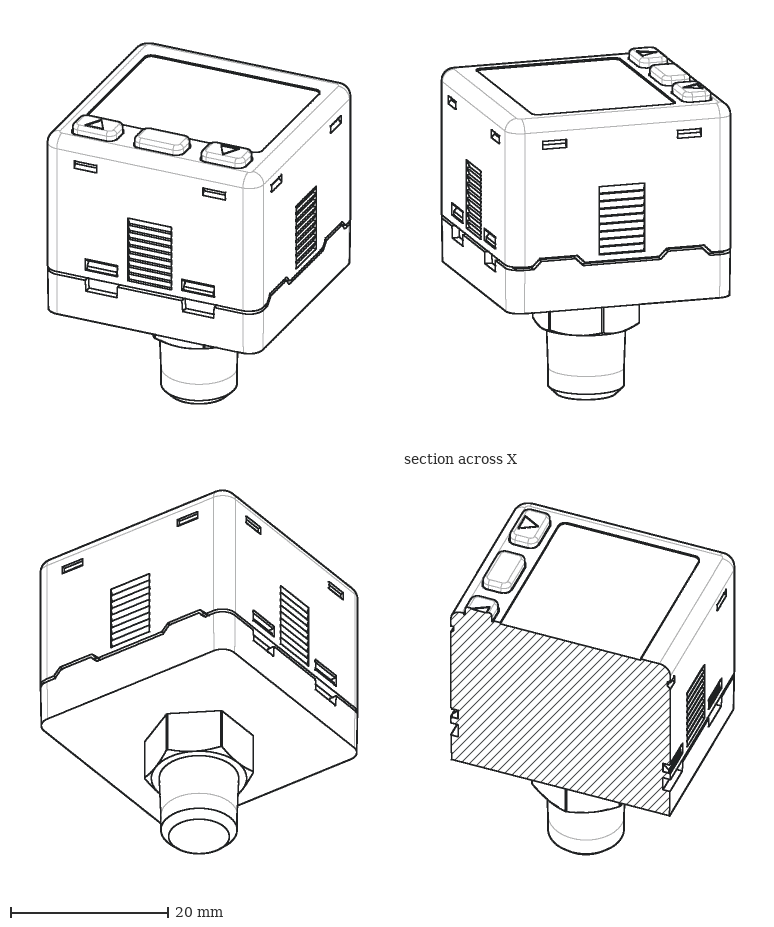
import cadquery as cq
import math

HOUSING = 30.0
HOUSING_HALF = HOUSING / 2
ALL_SIDES = (0, 90, 180, 270)
Y_SIDES = (0, 180)
CORNER_R = 2.0
TOP_R = 1.55
TOTAL_HEIGHT = 41.45
HOUSING_TOP = 40.3
HOUSING_BOTTOM = 15.05
BASE_DRAFT_ANGLE = 0.9

GROOVE_TOP = 21.2
GROOVE_WIDTH = 0.4
GROOVE_BOTTOM = GROOVE_TOP - GROOVE_WIDTH
GROOVE_DEPTH = 1.0
CORE_CORNER_R = 0.6
CORE_OVERLAP = 0.4
WAVE_RISE = 1.0
RAMP_ANGLE = 45.0
RAMP_RUN = WAVE_RISE / math.tan(math.radians(RAMP_ANGLE))
WAVE_INNER = 4.97
WAVE_OUTER = 11.95

HEX_FLATS = 12.1
HEX_CORNERS = 13.85
HEX_BOTTOM = 9.0
HEX_CHAMFER_ANGLE = 30.0
THREAD_TOP_R = 5.05
THREAD_R = 4.85
THREAD_TAPER_BOTTOM = 3.35
TIP_CHAMFER = 1.0

LOUVRE_WIDTH = 6.05
LOUVRE_COUNT = 9
LOUVRE_PITCH = 1.0
LOUVRE_DEPTH = 0.5
LOUVRE_TOP = 30.95

VENT_WIDTH = 3.15
VENT_X = 9.0
VENT_TOP = 37.5
VENT_BOTTOM = 36.48
VENT_SLOPE_RISE = 0.45
VENT_DEPTH = 0.4

SNAP_X = 6.75
SNAP_WIDTH = 4.5
WINDOW_TOP = 23.85
WINDOW_BOTTOM = 22.25
WINDOW_DEPTH = GROOVE_DEPTH
WINDOW_LIP = 0.15
CATCH_WIDTH = 4.15
CATCH_TOP = 23.6
CATCH_EDGE = 22.75
CATCH_SETBACK = 0.2
NOTCH_HEIGHT = 1.55
NOTCH_DEPTH = GROOVE_DEPTH
NOTCH_BOTTOM_WIDTH = 4.3

DISPLAY_WIDTH = 24.4
DISPLAY_LENGTH = 19.15
DISPLAY_Y = 1.35
DISPLAY_R = 0.9
DISPLAY_DEPTH = 0.2

BUTTON_X = 9.0
BUTTON_Y = -11.2
BUTTON_WIDTH = 6.0
SET_BUTTON_WIDTH = 6.67
BUTTON_LENGTH = 3.75
BUTTON_R = 1.0
BUTTON_EDGE_R = 0.5
BUTTON_CLEARANCE = 0.12
BUTTON_POCKET_DEPTH = 0.2
ARROW_WIDTH = 2.53
ARROW_HEIGHT = 2.25
ARROW_DEPTH = 0.12


def side_prism(points, width, x_center=0.0):
    """Extrude (depth, z) points along X, depth running inward from the -Y side."""
    outline = [(depth - HOUSING_HALF, z) for depth, z in points]
    start_x = x_center - width / 2
    return cq.Workplane("YZ", origin=(start_x, 0, 0)).polyline(outline).close().extrude(width)


def on_sides(cutter, angles):
    """Repeat a -Y side cutter around the Z axis."""
    copies = cq.Workplane()
    for angle in angles:
        copies = copies.add(cutter.rotate((0, 0, 0), (0, 0, 1), angle).vals())
    return copies


def rounded_block(width, length, corner_r, z_bottom, height, center=(0.0, 0.0)):
    block = cq.Workplane(origin=(center[0], center[1], z_bottom)).rect(width, length).extrude(height)
    return block.edges("|Z").fillet(corner_r)


def wave_line(z, ramp_shift):
    """Points of one groove edge from -Y to +Y; the shift narrows the raised stretches."""
    inner = WAVE_INNER + ramp_shift
    outer = WAVE_OUTER - ramp_shift
    half = [
        (inner, z),
        (inner + RAMP_RUN, z + WAVE_RISE),
        (outer - RAMP_RUN, z + WAVE_RISE),
        (outer, z),
        (HOUSING_HALF, z),
    ]
    mirrored = [(-y, height) for y, height in reversed(half)]
    return mirrored + half


def below_wave(edge_points):
    """Everything in the housing that lies under one groove edge."""
    outline = edge_points + [(HOUSING_HALF, HOUSING_BOTTOM), (-HOUSING_HALF, HOUSING_BOTTOM)]
    return cq.Workplane("YZ").polyline(outline).close().extrude(HOUSING_HALF, both=True)


def make_cover():
    height = HOUSING_TOP - GROOVE_BOTTOM
    cover = rounded_block(HOUSING, HOUSING, CORNER_R, GROOVE_BOTTOM, height)
    cover = cover.faces(">Z").edges().fillet(TOP_R)
    return cover.cut(below_wave(wave_line(GROOVE_TOP, 0.0)))


def make_base():
    outline = cq.Sketch().rect(HOUSING, HOUSING).vertices().fillet(CORNER_R)
    crest = GROOVE_BOTTOM + WAVE_RISE
    base = cq.Workplane(origin=(0, 0, crest)).placeSketch(outline)
    base = base.extrude(HOUSING_BOTTOM - crest, taper=BASE_DRAFT_ANGLE)
    ramp_shift = GROOVE_WIDTH * math.tan(math.radians(RAMP_ANGLE / 2))
    return base.intersect(below_wave(wave_line(GROOVE_BOTTOM, ramp_shift)))


def make_core():
    """Inner block that joins cover and base and forms the groove floor."""
    side = HOUSING - 2 * GROOVE_DEPTH
    bottom = GROOVE_BOTTOM - CORE_OVERLAP
    top = GROOVE_TOP + WAVE_RISE + CORE_OVERLAP
    return rounded_block(side, side, CORE_CORNER_R, bottom, top - bottom)


def make_fitting():
    hex_height = HOUSING_BOTTOM - HEX_BOTTOM
    sharp_corners = HEX_FLATS / math.cos(math.pi / 6)
    hexagon = cq.Workplane(origin=(0, 0, HEX_BOTTOM)).polygon(6, sharp_corners).extrude(hex_height)
    corner_r = HEX_CORNERS / 2
    face_r = HEX_FLATS / 2
    chamfer = (corner_r - face_r) * math.tan(math.radians(HEX_CHAMFER_ANGLE))
    turned = (
        cq.Workplane("XZ")
        .moveTo(0, HEX_BOTTOM)
        .lineTo(face_r, HEX_BOTTOM)
        .lineTo(corner_r, HEX_BOTTOM + chamfer)
        .lineTo(corner_r, HOUSING_BOTTOM)
        .lineTo(0, HOUSING_BOTTOM)
        .close()
        .revolve()
    )
    thread = (
        cq.Workplane("XZ")
        .lineTo(THREAD_R - TIP_CHAMFER, 0)
        .lineTo(THREAD_R, TIP_CHAMFER)
        .lineTo(THREAD_R, THREAD_TAPER_BOTTOM)
        .lineTo(THREAD_TOP_R, HEX_BOTTOM)
        .lineTo(0, HEX_BOTTOM)
        .close()
        .revolve()
    )
    return hexagon.intersect(turned).union(thread)


def make_louvres():
    """Stacked saw-tooth cuts, each sloping in from its top edge to a level ledge."""
    cutters = cq.Workplane()
    for index in range(LOUVRE_COUNT):
        top = LOUVRE_TOP - index * LOUVRE_PITCH
        ledge = top - LOUVRE_PITCH
        tooth = side_prism([(0, top), (LOUVRE_DEPTH, ledge), (0, ledge)], LOUVRE_WIDTH)
        cutters = cutters.add(tooth.vals())
    return cutters


def make_vents():
    outline = [
        (0, VENT_BOTTOM),
        (VENT_DEPTH, VENT_BOTTOM + VENT_SLOPE_RISE),
        (VENT_DEPTH, VENT_TOP),
        (0, VENT_TOP),
    ]
    return side_prism(outline, VENT_WIDTH, -VENT_X).add(side_prism(outline, VENT_WIDTH, VENT_X))


def make_snap_window(x_center):
    """Opening with a sloped upper lip, less the ramped catch that fills it."""
    opening = side_prism(
        [
            (0, WINDOW_BOTTOM),
            (WINDOW_DEPTH, WINDOW_BOTTOM),
            (WINDOW_DEPTH, CATCH_TOP),
            (WINDOW_LIP, CATCH_TOP),
            (0, WINDOW_TOP),
        ],
        SNAP_WIDTH,
        x_center,
    )
    catch = side_prism(
        [
            (CATCH_SETBACK, WINDOW_BOTTOM),
            (CATCH_SETBACK, CATCH_EDGE),
            (WINDOW_DEPTH, CATCH_TOP),
            (WINDOW_DEPTH, WINDOW_BOTTOM),
        ],
        CATCH_WIDTH,
        x_center,
    )
    return opening.cut(catch)


def make_notch(x_center):
    top_half = SNAP_WIDTH / 2
    bottom_half = NOTCH_BOTTOM_WIDTH / 2
    bottom = GROOVE_BOTTOM - NOTCH_HEIGHT
    outline = [
        (x_center - top_half, GROOVE_BOTTOM),
        (x_center - bottom_half, bottom),
        (x_center + bottom_half, bottom),
        (x_center + top_half, GROOVE_BOTTOM),
    ]
    plane = cq.Workplane("XZ", origin=(0, -HOUSING_HALF, 0))
    return plane.polyline(outline).close().extrude(-NOTCH_DEPTH)


def make_display():
    bottom = HOUSING_TOP - DISPLAY_DEPTH
    center = (0, DISPLAY_Y)
    return rounded_block(DISPLAY_WIDTH, DISPLAY_LENGTH, DISPLAY_R, bottom, DISPLAY_DEPTH, center)


def make_button(x_center, width):
    floor = HOUSING_TOP - BUTTON_POCKET_DEPTH
    button = rounded_block(
        width, BUTTON_LENGTH, BUTTON_R, floor, TOTAL_HEIGHT - floor, (x_center, BUTTON_Y)
    )
    return button.faces(">Z").edges().fillet(BUTTON_EDGE_R)


def make_button_pocket(x_center, width):
    gap = BUTTON_CLEARANCE
    return rounded_block(
        width + 2 * gap,
        BUTTON_LENGTH + 2 * gap,
        BUTTON_R + gap,
        HOUSING_TOP - BUTTON_POCKET_DEPTH,
        BUTTON_POCKET_DEPTH,
        (x_center, BUTTON_Y),
    )


def make_arrow(x_center, direction):
    tip = direction * ARROW_HEIGHT / 2
    outline = [(-ARROW_WIDTH / 2, -tip), (ARROW_WIDTH / 2, -tip), (0, tip)]
    plane = cq.Workplane(origin=(x_center, BUTTON_Y, TOTAL_HEIGHT))
    return plane.polyline(outline).close().extrude(-ARROW_DEPTH)


def cut_all(body, cutters):
    for cutter in cutters.vals():
        body = body.cut(cq.Workplane(cutter))
    return body


result = make_cover().union(make_core()).union(make_base()).union(make_fitting())

result = cut_all(result, on_sides(make_louvres(), ALL_SIDES))
result = cut_all(result, on_sides(make_vents(), ALL_SIDES))
for snap_x in (-SNAP_X, SNAP_X):
    result = cut_all(result, on_sides(make_snap_window(snap_x), Y_SIDES))
    result = cut_all(result, on_sides(make_notch(snap_x), Y_SIDES))

result = result.cut(make_display())
buttons = ((-BUTTON_X, BUTTON_WIDTH), (0, SET_BUTTON_WIDTH), (BUTTON_X, BUTTON_WIDTH))
for button_x, button_width in buttons:
    result = result.cut(make_button_pocket(button_x, button_width))
    result = result.union(make_button(button_x, button_width))
result = result.cut(make_arrow(-BUTTON_X, 1)).cut(make_arrow(BUTTON_X, -1))